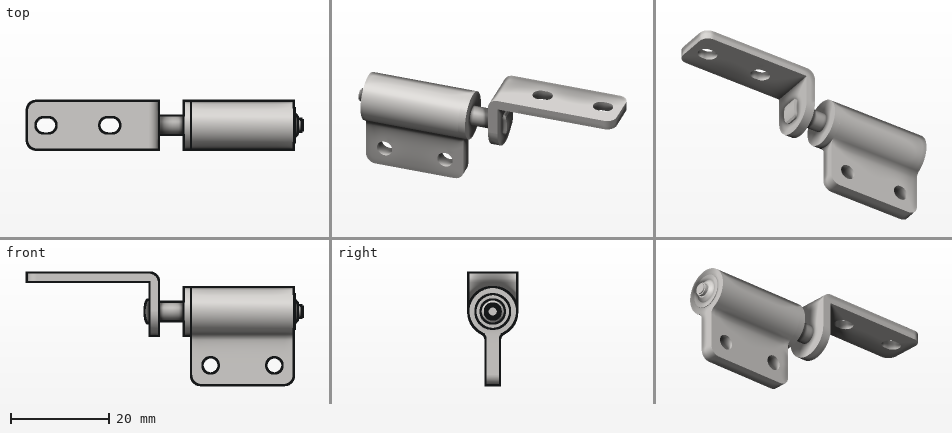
import cadquery as cq
import math

total_length = 56.3
body_radius = 5.0
body_width = 2 * body_radius
hole_spacing = 13.0
corner_radius = 2.0

sheet_thickness = 2.0
arm_top = 8.0
bracket_length = 27.0
bend_radius = 2.0
slot_length = 4.2
slot_width = 3.25
first_slot_x = 3.95

washer_front = 32.0
washer_thickness = 1.5
housing_front = washer_front + washer_thickness
housing_length = 21.0
housing_back = housing_front + housing_length
leaf_thickness = 3.0
leaf_bottom = -15.05
leaf_fillet = 1.5
leaf_hole_diameter = 3.25
leaf_hole_count = 2
leaf_hole_z = -11.0
first_leaf_hole_x = housing_front + 4.0

shaft_radius = 2.0
flat_width = 3.6
head_height = 4.85
head_corner_radius = 0.9
head_depth = 1.0
dome_edge_depth = 0.7
dome_half_height = 2.0
head_rim_depth = 0.35
flange_radius = 3.55
flange_thickness = 0.15
cone_base_radius = 2.5
cone_end_radius = 1.65
cone_length = 0.7
collar_radius = 1.35
collar_length = 0.7
tip_radius = 1.05

leg_front = bracket_length - sheet_thickness


def x_cylinder(radius, x_start, x_end):
    """Solid cylinder on the pin axis."""
    return cq.Workplane("YZ", origin=(x_start, 0, 0)).circle(radius).extrude(x_end - x_start)


def flatted_shank():
    """Round shaft with two flats, filling the hole in the bracket leg."""
    flats = cq.Workplane("XY").box(total_length, flat_width, body_width)
    return x_cylinder(shaft_radius, leg_front, bracket_length).intersect(flats.translate((leg_front, 0, 0)))


def make_bracket():
    arm = (
        cq.Workplane("XY", origin=(0, 0, arm_top - sheet_thickness))
        .rect(bracket_length, body_width)
        .extrude(sheet_thickness)
        .translate((bracket_length / 2, 0, 0))
        .edges("|Z and <X")
        .fillet(corner_radius)
    )
    leg = (
        cq.Workplane("YZ", origin=(leg_front, 0, 0))
        .moveTo(-body_radius, arm_top)
        .lineTo(-body_radius, 0)
        .threePointArc((0, -body_radius), (body_radius, 0))
        .lineTo(body_radius, arm_top)
        .close()
        .extrude(sheet_thickness)
    )
    slots = (
        cq.Workplane("XY", origin=(0, 0, arm_top - sheet_thickness))
        .pushPoints([(first_slot_x, 0), (first_slot_x + hole_spacing, 0)])
        .slot2D(slot_length, slot_width)
        .extrude(sheet_thickness)
    )
    bent_sheet = arm.union(leg).edges("|Y and >X and >Z").fillet(bend_radius)
    return bent_sheet.cut(slots).cut(flatted_shank())


def make_washer():
    bore = x_cylinder(shaft_radius, washer_front, housing_front)
    return x_cylinder(body_radius, washer_front, housing_front).cut(bore)


def leaf_root():
    """Block under the barrel whose concave sides blend the barrel into the leaf."""
    half_leaf = leaf_thickness / 2
    centre_y = half_leaf + leaf_fillet
    centre_distance = body_radius + leaf_fillet
    centre_z = -math.sqrt(centre_distance**2 - centre_y**2)
    barrel_y = centre_y * body_radius / centre_distance
    barrel_z = centre_z * body_radius / centre_distance
    end_angle = math.atan2(-centre_z, -centre_y)
    middle_angle = (math.pi + end_angle) / 2
    middle_y = centre_y + leaf_fillet * math.cos(middle_angle)
    middle_z = centre_z + leaf_fillet * math.sin(middle_angle)
    return (
        cq.Workplane("YZ", origin=(housing_front, 0, 0))
        .moveTo(-barrel_y, barrel_z)
        .threePointArc((-middle_y, middle_z), (-half_leaf, centre_z))
        .lineTo(half_leaf, centre_z)
        .threePointArc((middle_y, middle_z), (barrel_y, barrel_z))
        .close()
        .extrude(housing_length)
    )


def make_housing():
    barrel = x_cylinder(body_radius, housing_front, housing_back)
    leaf = (
        cq.Workplane("XY")
        .box(housing_length, leaf_thickness, -leaf_bottom, centered=(False, True, False))
        .translate((housing_front, 0, leaf_bottom))
        .edges("|Y and <Z")
        .fillet(corner_radius)
    )
    leaf_holes = (
        cq.Workplane("XZ")
        .pushPoints([(first_leaf_hole_x + i * hole_spacing, leaf_hole_z) for i in range(leaf_hole_count)])
        .circle(leaf_hole_diameter / 2)
        .extrude(leaf_thickness, both=True)
    )
    bore = x_cylinder(shaft_radius, housing_front, housing_back)
    return barrel.union(leaf_root()).union(leaf).cut(leaf_holes).cut(bore)


def pin_head():
    """Flat-sided head with a shallow domed face, bearing on the bracket leg."""
    half_height = head_height / 2
    dome = (
        cq.Workplane("XZ")
        .moveTo(leg_front, -half_height)
        .lineTo(leg_front - head_rim_depth, -half_height)
        .lineTo(leg_front - dome_edge_depth, -dome_half_height)
        .threePointArc((leg_front - head_depth, 0), (leg_front - dome_edge_depth, dome_half_height))
        .lineTo(leg_front - head_rim_depth, half_height)
        .lineTo(leg_front, half_height)
        .close()
        .extrude(flat_width / 2, both=True)
    )
    outline = (
        cq.Workplane("YZ", origin=(leg_front - head_depth, 0, 0))
        .rect(flat_width, head_height)
        .extrude(head_depth)
        .edges("|X")
        .fillet(head_corner_radius)
    )
    return dome.intersect(outline)


def pin_tail():
    """Flared retaining flange, cone, collar and tip behind the housing."""
    cone_start = housing_back + flange_thickness
    cone_end = cone_start + cone_length
    collar_end = cone_end + collar_length
    return (
        cq.Workplane("XY")
        .moveTo(housing_back, 0)
        .lineTo(housing_back, flange_radius)
        .lineTo(cone_start, flange_radius)
        .lineTo(cone_start, cone_base_radius)
        .lineTo(cone_end, cone_end_radius)
        .lineTo(cone_end, collar_radius)
        .lineTo(collar_end, collar_radius)
        .lineTo(collar_end, tip_radius)
        .lineTo(total_length, tip_radius)
        .lineTo(total_length, 0)
        .close()
        .revolve(360, (0, 0, 0), (1, 0, 0))
    )


def make_pin():
    shaft = x_cylinder(shaft_radius, bracket_length, housing_back)
    return pin_head().union(flatted_shank()).union(shaft).union(pin_tail())


bracket = make_bracket()
washer = make_washer()
housing = make_housing()
pin = make_pin()

bodies = [bracket, washer, housing, pin]
result = cq.Compound.makeCompound([body.solids().val() for body in bodies])